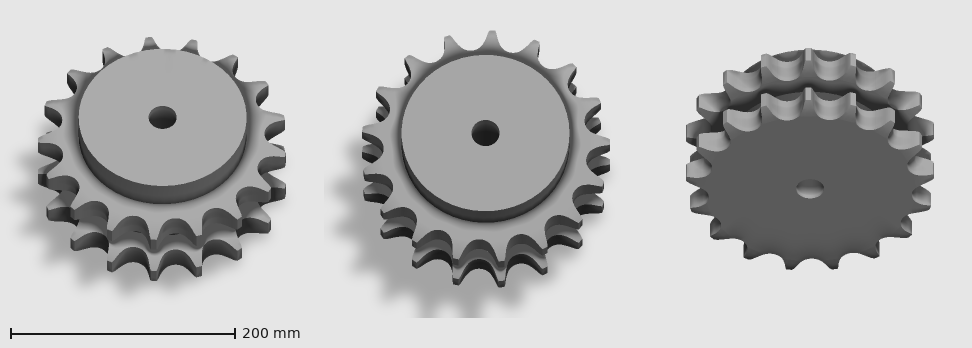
import cadquery as cq
import math

tooth_count = 17
roller_diameter = 25.5
chain_pitch = 38.1
strand_spacing = 48.3
plate_thickness = 23.5
tip_radius = 111.0
bevel_start_radius = 94.0
bevel_arc_radius = chain_pitch
hub_diameter = 150.0
bore_diameter = 25.0
total_height = 100.0

pitch_angle = 360 / tooth_count
half_pitch_angle = pitch_angle / 2
pitch_radius = chain_pitch / 2 / math.sin(math.radians(half_pitch_angle))
gap_overrun = 2.2
gap_top = tip_radius + gap_overrun

seat_radius = 0.504 * roller_diameter
flank_radius = 1.304 * roller_diameter
seat_end_angle = 35 + 60 / tooth_count
flank_sweep = 18 - 56 / tooth_count
topping_angle = 17 - 64 / tooth_count
flank_centre_distance = 0.8 * roller_diameter
topping_centre_distance = 1.4 * roller_diameter
topping_radius = (
    flank_centre_distance * math.cos(math.radians(flank_sweep))
    + topping_centre_distance * math.cos(math.radians(topping_angle))
    - flank_radius
)


def polar(centre, radius, angle):
    """Point at a radius and an angle in degrees around a centre."""
    turn = math.radians(angle)
    return centre[0] + radius * math.cos(turn), centre[1] + radius * math.sin(turn)


def mirrored(point):
    """The same point on the other side of the gap's centre line."""
    return -point[0], point[1]


def tooth_gap():
    """Gap between two teeth, centred on +Y, as a cutter through one plate."""
    seat_centre = (0, pitch_radius)
    seat_bottom = (0, pitch_radius - seat_radius)

    seat_end = polar(seat_centre, seat_radius, -seat_end_angle)
    flank_centre = polar(seat_centre, flank_centre_distance, 180 - seat_end_angle)
    flank_end_angle = flank_sweep - seat_end_angle
    flank_middle = polar(flank_centre, flank_radius, flank_end_angle - flank_sweep / 2)
    flank_end = polar(flank_centre, flank_radius, flank_end_angle)

    topping_centre = polar(seat_centre, topping_centre_distance, -half_pitch_angle)
    topping_start_angle = 180 + flank_end_angle
    topping_start = polar(topping_centre, topping_radius, topping_start_angle)
    rise = (gap_top - topping_centre[1]) / topping_radius
    topping_end_angle = 180 - math.degrees(math.asin(rise))
    topping_middle = polar(topping_centre, topping_radius, (topping_start_angle + topping_end_angle) / 2)
    topping_end = polar(topping_centre, topping_radius, topping_end_angle)

    return (
        cq.Workplane("XY")
        .moveTo(*mirrored(topping_end))
        .threePointArc(mirrored(topping_middle), mirrored(topping_start))
        .lineTo(*mirrored(flank_end))
        .threePointArc(mirrored(flank_middle), mirrored(seat_end))
        .threePointArc(seat_bottom, seat_end)
        .threePointArc(flank_middle, flank_end)
        .lineTo(*topping_start)
        .threePointArc(topping_middle, topping_end)
        .close()
        .extrude(plate_thickness)
    )


def plate_blank():
    """Disc whose rim is rounded off on both faces by arcs tangent to the faces."""
    bevel_width = tip_radius - bevel_start_radius

    def bevel_drop(width):
        return bevel_arc_radius - math.sqrt(bevel_arc_radius**2 - width**2)

    tip_drop = bevel_drop(bevel_width)
    middle_radius = bevel_start_radius + bevel_width / 2
    middle_drop = bevel_drop(bevel_width / 2)
    return (
        cq.Workplane("XZ")
        .lineTo(bevel_start_radius, 0)
        .threePointArc((middle_radius, middle_drop), (tip_radius, tip_drop))
        .lineTo(tip_radius, plate_thickness - tip_drop)
        .threePointArc(
            (middle_radius, plate_thickness - middle_drop),
            (bevel_start_radius, plate_thickness),
        )
        .lineTo(0, plate_thickness)
        .close()
        .revolve(360, (0, 0, 0), (0, 1, 0))
    )


def toothed_plate():
    """One sprocket plate with a gap on +Y and a tooth on -Y."""
    plate = plate_blank()
    gap = tooth_gap()
    for index in range(tooth_count):
        plate = plate.cut(gap.rotate((0, 0, 0), (0, 0, 1), index * pitch_angle))
    return plate


hub = cq.Workplane("XY").circle(hub_diameter / 2).extrude(total_height)
bore = cq.Workplane("XY").circle(bore_diameter / 2).extrude(total_height)
lower_plate = toothed_plate()
upper_plate = lower_plate.translate((0, 0, strand_spacing))

result = hub.union(lower_plate).union(upper_plate).cut(bore)